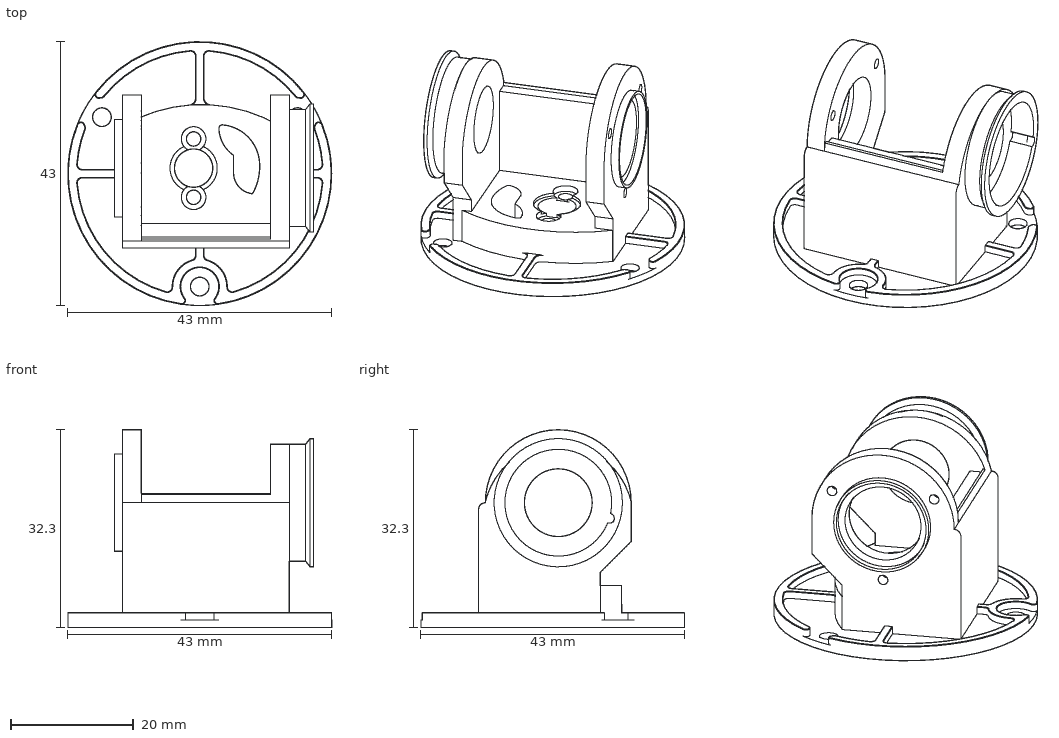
import cadquery as cq
import math

PLATE_R = 21.5
FLOOR_Z = 1.25
RIM_Z = 2.5
RIM_INNER_R = 20.0
RIB_WIDTH = 1.4
SCREW_CIRCLE_R = 18.4
SCREW_R = 1.5
SCREW_ANGLES = (0, 120, 240)
SEAT_R = 3.1
SEAT_WALL_R = 4.5
POCKET_FILLET = 0.8
BLOCK_FILLET = 1.1
TOLERANCE = 0.02
RIM_TIP_R = 0.62
SEAT_OVERRUN = 1.05
RIM_CHAMFER = 0.1

YOKE_X_MIN = -12.6
YOKE_X_MAX = 14.6
LUG_THICKNESS = 3.1
LUG_R = 11.9
AXIS_Y = 0.9
AXIS_Z = 20.35
SHORT_LUG_TOP_Z = 29.9
LUG_BACK_Y = AXIS_Y + LUG_R
LUG_FRONT_Y = AXIS_Y - LUG_R
LUG_FOOT_Y = 7.75
LUG_FOOT_Z = 9.0
LUG_SLOPE_TOP_Z = LUG_FOOT_Z + LUG_BACK_Y - LUG_FOOT_Y

WALL_FRONT_Y = -12.1
WALL_BACK_Y = -8.1
WALL_LEDGE_Z = 21.25
WALL_LIP_BACK_Y = -10.3
WALL_LIP_FRONT_Y = -10.7
WALL_LIP_BACK_Z = 21.85
WALL_LIP_FRONT_Z = 21.65
WALL_FILLET = 1.1

BLOCK_TOP_Z = 6.9
BLOCK_ARC_X = 0.3
BLOCK_ARC_Y = -13.85
BLOCK_ARC_R = 25.1

LEFT_BOSS_R = 7.95
LEFT_BOSS_LENGTH = 1.3
LEFT_SEAT_R = 7.5
LEFT_BORE_R = 6.35
PIN_R = 0.8
PIN_CIRCLE_R = 9.85
PIN_ANGLES = (30, 150, 270)

RIGHT_BOSS_R = 9.55
RIGHT_BORE_R = 5.5
RIGHT_SEAT_R = 8.7
RIGHT_CONE_START = 2.65
RIGHT_CONE_END = 3.35
RIGHT_FLANGE_END = 3.95
RIGHT_FLANGE_R = 10.45
NOTCH_R = 0.8
NOTCH_ANGLE = -17

SHAFT_X = -1.0
SHAFT_R = 3.1
SHAFT_COUNTERBORE_R = 3.85
SIDE_HOLE_R = 1.15
SIDE_COUNTERBORE_R = 2.0
SIDE_HOLE_PITCH = 4.75
SHAFT_COUNTERBORE_DEPTH = 0.5
SIDE_COUNTERBORE_DEPTH = 1.0

SLOT_REAR_TIP = (3.15, 7.95)
SLOT_OUTER_REAR_MID = (7.74, 6.1)
SLOT_OUTER_JOIN = (9.74, 1.6)
SLOT_OUTER_FRONT_MID = (9.52, -0.87)
SLOT_FRONT_TIP = (8.6, -3.26)
SLOT_INNER_FRONT_MID = (6.4, -2.15)
SLOT_INNER_FLAT_FRONT = (5.52, 0.09)
SLOT_INNER_FLAT_REAR = (5.52, 2.98)
SLOT_INNER_REAR_MID = (4.05, 4.48)
SLOT_REAR_FILLET = 0.55
SLOT_FRONT_FILLET = 0.25


def disc(radius, bottom, top, x=0.0, y=0.0):
    return cq.Workplane("XY", origin=(x, y, bottom)).circle(radius).extrude(top - bottom)


def box(x_range, y_range, z_range):
    sizes = [high - low for low, high in (x_range, y_range, z_range)]
    corner = (x_range[0], y_range[0], z_range[0])
    return cq.Workplane("XY", origin=corner).box(*sizes, centered=False)


def rod(radius, x_start, x_end, y=AXIS_Y, z=AXIS_Z):
    return cq.Workplane("YZ", origin=(x_start, y, z)).circle(radius).extrude(x_end - x_start)


def polar(radius, angle):
    turn = math.radians(angle)
    return radius * math.cos(turn), radius * math.sin(turn)


def at_each_screw(shape):
    first, *others = [shape.rotate((0, 0, 0), (0, 0, 1), angle) for angle in SCREW_ANGLES]
    for other in others:
        first = first.union(other)
    return first


def block_outline(bottom, top):
    limits = box((YOKE_X_MIN, YOKE_X_MAX), (WALL_BACK_Y, PLATE_R), (bottom, top))
    return disc(BLOCK_ARC_R, bottom, top, BLOCK_ARC_X, BLOCK_ARC_Y).intersect(limits)


def is_pocket_corner(edge):
    """Upright corners of the pockets."""
    middle = edge.Center()
    from_centre = math.hypot(middle.x, middle.y)
    from_screw = math.hypot(middle.x, middle.y + SCREW_CIRCLE_R)
    on_rim = abs(from_centre - RIM_INNER_R) < TOLERANCE
    on_rib = abs(abs(middle.x) - RIB_WIDTH / 2) < TOLERANCE
    at_seat_wall = on_rib and middle.y < 0 and abs(from_screw - SEAT_WALL_R) < TOLERANCE
    return on_rim or at_seat_wall


def is_block_corner(edge):
    """Upright corners where the rear rib meets the floor block."""
    middle = edge.Center()
    on_rib = abs(abs(middle.x) - RIB_WIDTH / 2) < TOLERANCE
    return on_rib and LUG_FOOT_Y < middle.y < RIM_INNER_R - 2 * POCKET_FILLET


def make_screw_seat():
    """Round seat at the -Y screw, opening through the rim between two rounded tips."""
    reach = PLATE_R - RIM_TIP_R
    screw_reach = SEAT_R + RIM_TIP_R
    tip_y = (screw_reach**2 - reach**2 - SCREW_CIRCLE_R**2) / (2 * SCREW_CIRCLE_R)
    tip_x = math.sqrt(reach**2 - tip_y**2)
    beyond = PLATE_R / reach * SEAT_OVERRUN
    mouth = (
        cq.Workplane("XY", origin=(0, 0, FLOOR_Z))
        .polyline([
            (0, -SCREW_CIRCLE_R),
            (tip_x, tip_y),
            (tip_x * beyond, tip_y * beyond),
            (-tip_x * beyond, tip_y * beyond),
            (-tip_x, tip_y),
        ])
        .close()
        .extrude(RIM_Z - FLOOR_Z)
    )
    seat = disc(SEAT_R, FLOOR_Z, RIM_Z, y=-SCREW_CIRCLE_R).union(mouth)
    for side in (-1, 1):
        seat = seat.cut(disc(RIM_TIP_R, FLOOR_Z, RIM_Z, side * tip_x, tip_y))
    return seat


def make_base():
    raised = disc(PLATE_R, FLOOR_Z, RIM_Z).cut(disc(RIM_INNER_R, FLOOR_Z, RIM_Z))
    rim_middle = (PLATE_R + RIM_INNER_R) / 2
    half_rib = RIB_WIDTH / 2
    long_span = (-rim_middle, rim_middle)
    short_span = (-half_rib, half_rib)
    z_span = (FLOOR_Z, RIM_Z)
    raised = raised.union(box(long_span, short_span, z_span))
    raised = raised.union(box(short_span, (-SCREW_CIRCLE_R, rim_middle), z_span))
    seat_wall = disc(SEAT_WALL_R, FLOOR_Z, RIM_Z, y=-SCREW_CIRCLE_R)
    raised = raised.union(seat_wall.intersect(disc(PLATE_R, FLOOR_Z, RIM_Z)))
    raised = raised.union(block_outline(FLOOR_Z, RIM_Z))
    raised = raised.cut(at_each_screw(make_screw_seat()))
    raised = raised.edges("|Z").filter(is_pocket_corner).fillet(POCKET_FILLET)
    raised = raised.edges("|Z").filter(is_block_corner).fillet(BLOCK_FILLET)
    raised = raised.faces(">Z").chamfer(RIM_CHAMFER)
    return disc(PLATE_R, 0, FLOOR_Z).union(raised)


def make_lug(x_start, length, crown_z):
    return (
        cq.Workplane("YZ", origin=(x_start, 0, 0))
        .moveTo(LUG_FRONT_Y, FLOOR_Z)
        .lineTo(LUG_FRONT_Y, AXIS_Z)
        .threePointArc((AXIS_Y, crown_z), (LUG_BACK_Y, AXIS_Z))
        .lineTo(LUG_BACK_Y, LUG_SLOPE_TOP_Z)
        .lineTo(LUG_FOOT_Y, LUG_FOOT_Z)
        .lineTo(LUG_FOOT_Y, FLOOR_Z)
        .close()
        .extrude(length)
    )


def make_front_wall():
    x_span = (YOKE_X_MIN, YOKE_X_MAX)
    facing = box(x_span, (WALL_FRONT_Y, WALL_BACK_Y), (FLOOR_Z, AXIS_Z))
    facing = facing.edges("<Y and >Z").fillet(WALL_FILLET)
    length = YOKE_X_MAX - YOKE_X_MIN
    ridge_limits = (
        cq.Workplane("YZ", origin=(YOKE_X_MIN, 0, 0))
        .polyline([
            (LUG_FRONT_Y, FLOOR_Z),
            (LUG_FRONT_Y, WALL_LIP_FRONT_Z),
            (WALL_LIP_FRONT_Y, WALL_LIP_FRONT_Z),
            (WALL_LIP_BACK_Y, WALL_LIP_BACK_Z),
            (WALL_LIP_BACK_Y, WALL_LEDGE_Z),
            (WALL_BACK_Y, WALL_LEDGE_Z),
            (WALL_BACK_Y, FLOOR_Z),
        ])
        .close()
        .extrude(length)
    )
    ridge = make_lug(YOKE_X_MIN, length, SHORT_LUG_TOP_Z).intersect(ridge_limits)
    return facing.union(ridge)


def make_yoke():
    tall_lug = make_lug(YOKE_X_MIN, LUG_THICKNESS, AXIS_Z + LUG_R)
    short_lug = make_lug(YOKE_X_MAX - LUG_THICKNESS, LUG_THICKNESS, SHORT_LUG_TOP_Z)
    block = block_outline(FLOOR_Z, BLOCK_TOP_Z)
    return tall_lug.union(short_lug).union(make_front_wall()).union(block)


def add_left_bearing(part):
    boss_x = YOKE_X_MIN - LEFT_BOSS_LENGTH
    lug_inner_x = YOKE_X_MIN + LUG_THICKNESS
    part = part.union(rod(LEFT_BOSS_R, boss_x, YOKE_X_MIN))
    part = part.cut(rod(LEFT_SEAT_R, boss_x, YOKE_X_MIN))
    part = part.cut(rod(LEFT_BORE_R, YOKE_X_MIN, lug_inner_x))
    for angle in PIN_ANGLES:
        pin_y, pin_z = polar(PIN_CIRCLE_R, angle)
        part = part.cut(rod(PIN_R, YOKE_X_MIN, lug_inner_x, AXIS_Y + pin_y, AXIS_Z + pin_z))
    return part


def add_right_bearing(part):
    profile = [
        (0, 0),
        (0, RIGHT_BOSS_R),
        (RIGHT_CONE_START, RIGHT_BOSS_R),
        (RIGHT_CONE_END, RIGHT_FLANGE_R),
        (RIGHT_FLANGE_END, RIGHT_FLANGE_R),
        (RIGHT_FLANGE_END, 0),
    ]
    boss = (
        cq.Workplane("XY", origin=(YOKE_X_MAX, AXIS_Y, AXIS_Z))
        .polyline(profile)
        .close()
        .revolve(360, (0, 0, 0), (1, 0, 0))
    )
    end_x = YOKE_X_MAX + RIGHT_FLANGE_END
    notch_y, notch_z = polar(RIGHT_SEAT_R, NOTCH_ANGLE)
    part = part.union(boss)
    part = part.cut(rod(RIGHT_BORE_R, YOKE_X_MAX - LUG_THICKNESS, end_x))
    part = part.cut(rod(RIGHT_SEAT_R, YOKE_X_MAX, end_x))
    return part.cut(rod(NOTCH_R, YOKE_X_MAX, end_x, AXIS_Y + notch_y, AXIS_Z + notch_z))


def make_slot():
    """Kidney-shaped opening, rounded at its two tips."""
    slot = (
        cq.Workplane("XY")
        .moveTo(*SLOT_REAR_TIP)
        .threePointArc(SLOT_OUTER_REAR_MID, SLOT_OUTER_JOIN)
        .threePointArc(SLOT_OUTER_FRONT_MID, SLOT_FRONT_TIP)
        .threePointArc(SLOT_INNER_FRONT_MID, SLOT_INNER_FLAT_FRONT)
        .lineTo(*SLOT_INNER_FLAT_REAR)
        .threePointArc(SLOT_INNER_REAR_MID, SLOT_REAR_TIP)
        .close()
        .extrude(BLOCK_TOP_Z)
    )
    slot = slot.edges("|Z and <Y").fillet(SLOT_FRONT_FILLET)
    slot = slot.edges("|Z and >Y").fillet(SLOT_REAR_FILLET)
    return slot


def cut_floor_openings(part):
    shaft_counterbore_z = BLOCK_TOP_Z - SHAFT_COUNTERBORE_DEPTH
    side_counterbore_z = BLOCK_TOP_Z - SIDE_COUNTERBORE_DEPTH
    part = part.cut(disc(SHAFT_R, 0, BLOCK_TOP_Z, SHAFT_X, AXIS_Y))
    part = part.cut(disc(SHAFT_COUNTERBORE_R, shaft_counterbore_z, BLOCK_TOP_Z, SHAFT_X, AXIS_Y))
    for side in (-1, 1):
        hole_y = AXIS_Y + side * SIDE_HOLE_PITCH
        part = part.cut(disc(SIDE_HOLE_R, 0, BLOCK_TOP_Z, SHAFT_X, hole_y))
        part = part.cut(disc(SIDE_COUNTERBORE_R, side_counterbore_z, BLOCK_TOP_Z, SHAFT_X, hole_y))
    return part.cut(make_slot())


part = make_base().union(make_yoke())
part = add_left_bearing(part)
part = add_right_bearing(part)
part = cut_floor_openings(part)
result = part.cut(at_each_screw(disc(SCREW_R, 0, FLOOR_Z, y=-SCREW_CIRCLE_R)))